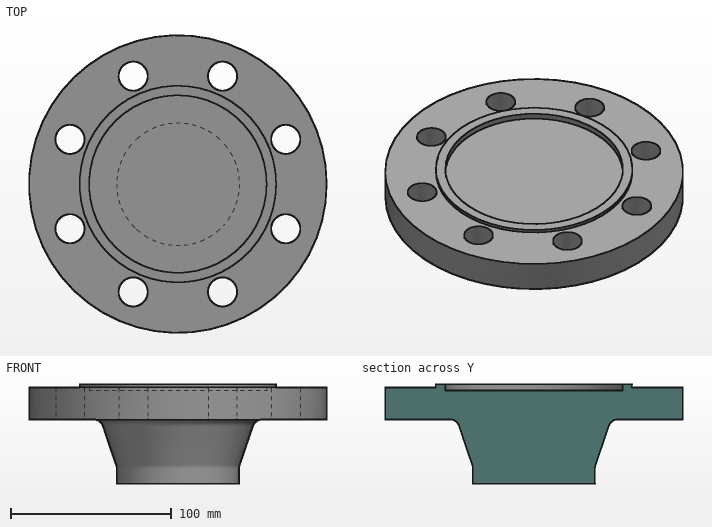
import cadquery as cq
import math

flange_diameter = 185.0
flange_thickness = 20.0
raised_face_diameter = 122.1
raised_face_height = 2.0
recess_diameter = 110.3
recess_depth = 3.9

bolt_count = 8
bolt_circle_diameter = 145.0
bolt_hole_diameter = 18.0
bolt_pitch_angle = 360 / bolt_count

overall_height = 62.0
stub_radius = 38.1
stub_height = 10.0
stub_blend_height = 1.7
stub_blend_growth = 0.28
taper_top_radius = 46.6
root_fillet_height = 4.0

flange_top = overall_height - raised_face_height
flange_bottom = flange_top - flange_thickness
taper_bottom = stub_height + stub_blend_height
taper_bottom_radius = stub_radius + stub_blend_growth
taper_top = flange_bottom - root_fillet_height

taper_angle = math.atan2(taper_top_radius - taper_bottom_radius, taper_top - taper_bottom)
root_fillet_radius = root_fillet_height / (1 - math.sin(taper_angle))
root_radius = taper_top_radius + root_fillet_radius * math.cos(taper_angle)


def make_body():
    """Revolve the half section of the neck, flange and raised face about Z."""
    section = (
        cq.Workplane("XZ")
        .lineTo(stub_radius, 0)
        .lineTo(stub_radius, stub_height)
        .tangentArcPoint((taper_bottom_radius, taper_bottom), relative=False)
        .lineTo(taper_top_radius, taper_top)
        .tangentArcPoint((root_radius, flange_bottom), relative=False)
        .lineTo(flange_diameter / 2, flange_bottom)
        .lineTo(flange_diameter / 2, flange_top)
        .lineTo(raised_face_diameter / 2, flange_top)
        .lineTo(raised_face_diameter / 2, overall_height)
        .lineTo(0, overall_height)
        .close()
    )
    return section.revolve(360, (0, 0, 0), (0, 1, 0))


def make_recess():
    """Shallow round pocket in the raised face."""
    return (
        cq.Workplane("XY")
        .workplane(offset=overall_height - recess_depth)
        .circle(recess_diameter / 2)
        .extrude(recess_depth)
    )


def make_bolt_holes():
    """Ring of cutters passing through the flange plate."""
    return (
        cq.Workplane("XY")
        .workplane(offset=flange_bottom)
        .polarArray(bolt_circle_diameter / 2, bolt_pitch_angle / 2, 360, bolt_count)
        .circle(bolt_hole_diameter / 2)
        .extrude(flange_thickness)
    )


result = make_body().cut(make_recess()).cut(make_bolt_holes())